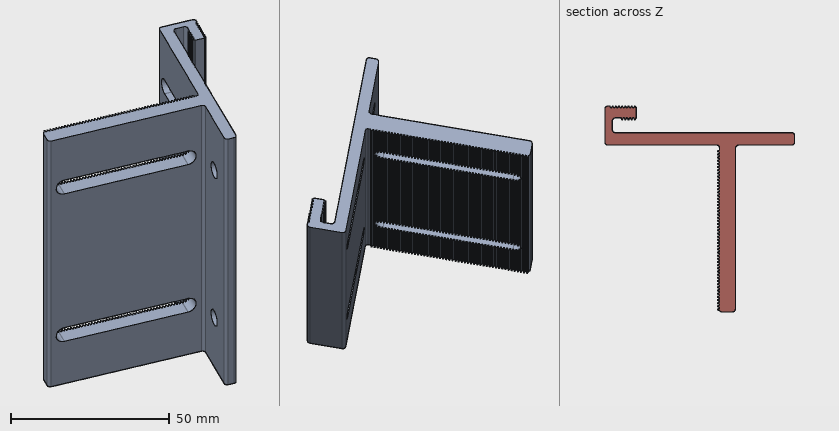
import cadquery as cq

LENGTH = 100.0
PLATE_WIDTH = 60.0
DEPTH = 65.1
PLATE_THICKNESS = 4.0
CORNER_RADIUS = 1.0

WEB_HEIGHT = 52.7
WEB_RIGHT = 41.3
WEB_THICKNESS = 5.1
TOOTHED_SIDE_RADIUS = 0.8

HOOK_WALL = 2.4
HOOK_REACH = 10.0
HOOK_GAP = 4.6

TOOTH_PITCH = 1.0
CREST_WIDTH = 0.2
FOOT_WIDTH = 0.7
ROOT_DEPTH = 0.2
TOOTH_HEIGHT = 0.6
BACK_TOOTH_HEIGHT = 0.5
WEB_TEETH = 51
WEB_TEETH_START = 0.3
HOOK_BACK_TEETH = 8
HOOK_INNER_TEETH = 5

HOLE_DIAMETER = 5.5
HOLE_LEVELS = (20.0, 80.0)
HOLE_X = 50.0
PLATE_SLOT_LENGTH = 31.0
PLATE_SLOT_X = 18.2
WEB_SLOT_LENGTH = 47.2
WEB_SLOT_Y = 26.3

PLATE_BACK = WEB_HEIGHT + PLATE_THICKNESS
WEB_LEFT = WEB_RIGHT - WEB_THICKNESS
HOOK_INNER = PLATE_BACK + HOOK_GAP
HOOK_BACK = DEPTH - BACK_TOOTH_HEIGHT
TOOTH_FLANK = (FOOT_WIDTH - CREST_WIDTH) / 2
HALF_VALLEY = (TOOTH_PITCH - FOOT_WIDTH) / 2
HOOK_LAND_FOOT = HOOK_REACH - HOOK_BACK_TEETH * TOOTH_PITCH - HALF_VALLEY


def tooth_row(start, along, outward, count, height):
    """Row of flat-crested ridges over the full length, to be fused onto a flat face.

    The row leaves `start` along the unit vector `along`; the ridges rise
    along the unit vector `outward`. Their roots sink slightly into the face.
    """
    tooth = [
        (HALF_VALLEY, -ROOT_DEPTH),
        (HALF_VALLEY, 0),
        (HALF_VALLEY + TOOTH_FLANK, height),
        (TOOTH_PITCH - HALF_VALLEY - TOOTH_FLANK, height),
        (TOOTH_PITCH - HALF_VALLEY, 0),
        (TOOTH_PITCH - HALF_VALLEY, -ROOT_DEPTH),
    ]
    row = cq.Workplane("XY")
    for index in range(count):
        points = []
        for offset, rise in tooth:
            travel = index * TOOTH_PITCH + offset
            x = start[0] + travel * along[0] + rise * outward[0]
            y = start[1] + travel * along[1] + rise * outward[1]
            points.append((x, y))
        row = row.polyline(points).close()
    return row.extrude(LENGTH)


def profile():
    """Cross-section with sharp corners and no teeth, extruded to the full length."""
    outline = [
        (WEB_LEFT, 0),
        (WEB_RIGHT, 0),
        (WEB_RIGHT, WEB_HEIGHT),
        (PLATE_WIDTH, WEB_HEIGHT),
        (PLATE_WIDTH, PLATE_BACK),
        (HOOK_WALL, PLATE_BACK),
        (HOOK_WALL, HOOK_INNER),
        (HOOK_REACH, HOOK_INNER),
        (HOOK_REACH, HOOK_BACK),
        (HOOK_LAND_FOOT, HOOK_BACK),
        (HOOK_LAND_FOOT - TOOTH_FLANK, DEPTH),
        (0, DEPTH),
        (0, WEB_HEIGHT),
        (WEB_LEFT, WEB_HEIGHT),
    ]
    return cq.Workplane("XY").polyline(outline).close().extrude(LENGTH)


def round_edges(body, corners, radius):
    """Fillet the lengthwise edges that pass through the given profile corners."""
    for x, y in corners:
        edge = cq.selectors.NearestToPointSelector((x, y, LENGTH / 2))
        body = body.edges(edge).fillet(radius)
    return body


def at_levels(position):
    """Points at one position across the part, one per fastener level."""
    return [(position, level) for level in HOLE_LEVELS]


body = round_edges(
    profile(),
    [
        (WEB_RIGHT, 0),
        (WEB_RIGHT, WEB_HEIGHT),
        (PLATE_WIDTH, WEB_HEIGHT),
        (PLATE_WIDTH, PLATE_BACK),
        (HOOK_WALL, PLATE_BACK),
        (HOOK_WALL, HOOK_INNER),
        (0, DEPTH),
        (0, WEB_HEIGHT),
    ],
    CORNER_RADIUS,
)
body = round_edges(body, [(WEB_LEFT, WEB_HEIGHT), (WEB_LEFT, 0)], TOOTHED_SIDE_RADIUS)

web_teeth = tooth_row((WEB_LEFT, WEB_TEETH_START), (0, 1), (-1, 0), WEB_TEETH, TOOTH_HEIGHT)
inner_teeth = tooth_row((HOOK_REACH, HOOK_INNER), (-1, 0), (0, -1), HOOK_INNER_TEETH, TOOTH_HEIGHT)
back_teeth = tooth_row((HOOK_REACH, HOOK_BACK), (-1, 0), (0, 1), HOOK_BACK_TEETH, BACK_TOOTH_HEIGHT)
body = body.union(web_teeth).union(inner_teeth).union(back_teeth)

plate_front = cq.Workplane("XZ", origin=(0, WEB_HEIGHT, 0))
plate_holes = plate_front.pushPoints(at_levels(HOLE_X)).circle(HOLE_DIAMETER / 2).extrude(-PLATE_THICKNESS)
plate_slots = (
    plate_front.pushPoints(at_levels(PLATE_SLOT_X))
    .slot2D(PLATE_SLOT_LENGTH, HOLE_DIAMETER)
    .extrude(-PLATE_THICKNESS)
)

web_slots = (
    cq.Workplane("YZ", origin=(WEB_LEFT - TOOTH_HEIGHT, 0, 0))
    .pushPoints(at_levels(WEB_SLOT_Y))
    .slot2D(WEB_SLOT_LENGTH, HOLE_DIAMETER)
    .extrude(WEB_THICKNESS + TOOTH_HEIGHT)
)

result = body.cut(plate_holes).cut(plate_slots).cut(web_slots)